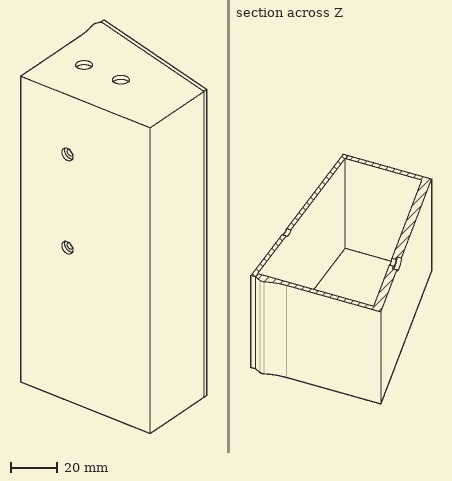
import cadquery as cq
import math

WIDTH = 71.8
DEPTH = 59.0
LENGTH = 154.0

WALL = 2.0
FRONT_WALL = 4.0

SLANT = math.radians(15)
LID_THICKNESS = 2.0

SIDE_X = 1.4
NOSE_RADIUS = 3.2
NOSE_Y = 53.3
NOSE_TOP_Y = 54.4
COVE_END_Y = 42.7

SCREW_X = 26.8
LOWER_SCREW_Z = LENGTH / 2
UPPER_SCREW_Z = 124.0
SCREW_DIAMETER = 3.2
HEAD_DIAMETER = 6.0
HEAD_DEPTH = FRONT_WALL / 2

OPENING_DIAMETER = 7.2
OPENING_Y = 24.0
OPENING_XS = (17.4, 37.4)

LID_RISE = LID_THICKNESS / math.cos(SLANT)


def joint_y(x):
    """Y of the joint plane at a given X."""
    return DEPTH - LID_RISE - (x - SIDE_X) * math.tan(SLANT)


def nose_point(y):
    """Point on the nose arc at a given Y; the arc touches X = 0 at its tip."""
    return (NOSE_RADIUS - math.sqrt(NOSE_RADIUS**2 - (y - NOSE_Y) ** 2), y)


def front_cylinder(z, diameter, depth):
    """Cylinder on a screw axis, running from the front face along +Y."""
    return cq.Workplane("XZ", origin=(SCREW_X, 0, z)).circle(diameter / 2).extrude(-depth)


def make_outer_block():
    sweep_angle = 2 * math.atan(SIDE_X / (NOSE_Y - COVE_END_Y))
    nose_end = nose_point(NOSE_Y - NOSE_RADIUS * math.sin(sweep_angle))
    return (
        cq.Workplane("XY")
        .moveTo(SIDE_X, 0)
        .lineTo(WIDTH, 0)
        .lineTo(WIDTH, joint_y(WIDTH))
        .lineTo(SIDE_X, joint_y(SIDE_X))
        .lineTo(*nose_point(NOSE_TOP_Y))
        .threePointArc((0, NOSE_Y), nose_end)
        .tangentArcPoint((SIDE_X, COVE_END_Y), relative=False)
        .close()
        .extrude(LENGTH)
    )


def make_cavity():
    left = SIDE_X + WALL
    right = WIDTH - WALL
    return (
        cq.Workplane("XY", origin=(0, 0, WALL))
        .moveTo(left, FRONT_WALL)
        .lineTo(right, FRONT_WALL)
        .lineTo(right, joint_y(right))
        .lineTo(left, joint_y(left))
        .close()
        .extrude(LENGTH - 2 * WALL)
    )


def make_top_openings():
    return (
        cq.Workplane("XY", origin=(0, 0, LENGTH - WALL))
        .pushPoints([(x, OPENING_Y) for x in OPENING_XS])
        .circle(OPENING_DIAMETER / 2)
        .extrude(WALL)
    )


def make_housing():
    body = make_outer_block().cut(make_cavity()).cut(make_top_openings())
    for z in (LOWER_SCREW_Z, UPPER_SCREW_Z):
        body = body.cut(front_cylinder(z, SCREW_DIAMETER, FRONT_WALL))
        body = body.cut(front_cylinder(z, HEAD_DIAMETER, HEAD_DEPTH))
    return body


def make_lid():
    plate = (
        cq.Workplane("XY")
        .moveTo(SIDE_X, joint_y(SIDE_X))
        .lineTo(WIDTH, joint_y(WIDTH))
        .lineTo(WIDTH, joint_y(WIDTH) + LID_RISE)
        .lineTo(SIDE_X, DEPTH)
        .close()
        .extrude(LENGTH)
    )
    return plate.cut(front_cylinder(LOWER_SCREW_Z, SCREW_DIAMETER, DEPTH))


housing = make_housing()
lid = make_lid()

result = cq.Compound.makeCompound([housing.val(), lid.val()])